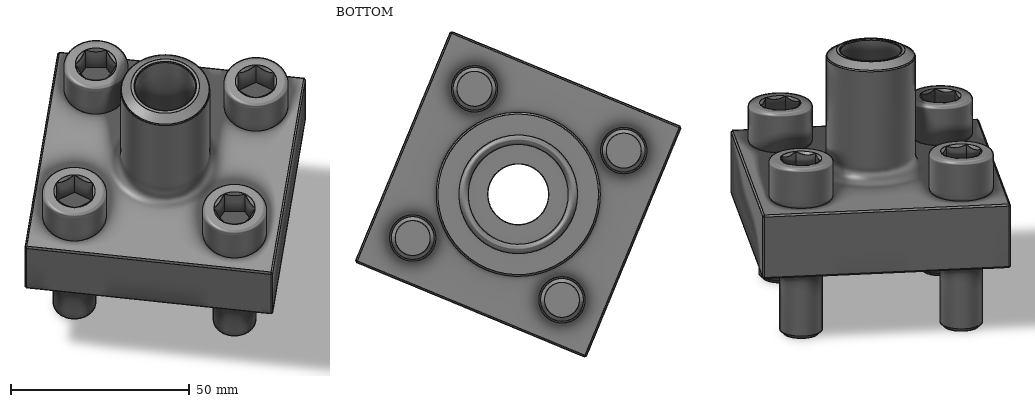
import cadquery as cq
import math

plate_side = 70.0
plate_height = 19.0
plate_edge_chamfer = 0.48
plate_angle = 22.5

neck_diameter = 25.0
neck_height = 35.0
neck_root_radius = 4.2
bore_diameter = 17.0
weld_land = 1.1
weld_bevel_angle = 30.0
neck_edge_break = 0.25

spigot_diameter = 46.0
spigot_height = 2.0
spigot_chamfer = 0.5

ring_inner_diameter = 28.0
ring_section_diameter = 2.62
ring_proud = 0.65
ring_centre_radius = (ring_inner_diameter + ring_section_diameter) / 2
ring_outer_diameter = ring_inner_diameter + 2 * ring_section_diameter
groove_depth = ring_section_diameter - ring_proud

screw_count = 4
screw_circle_diameter = 64.0
first_screw_angle = plate_angle + 45.0
screw_diameter = 12.0
screw_length = 40.0
screw_hole_diameter = 13.0
screw_tip_chamfer = 1.1

head_diameter = 18.0
head_height = screw_diameter
head_edge_radius = 1.2

socket_across_flats = 10.0
socket_across_corners = socket_across_flats / math.cos(math.radians(30))
socket_depth = 8.0
socket_countersink_slope = 45.0


def make_flange():
    """Plate, neck and spigot with the bore, the screw holes and the ring groove."""
    plate = (
        cq.Workplane("XY")
        .rect(plate_side, plate_side)
        .extrude(plate_height)
        .edges()
        .chamfer(plate_edge_chamfer)
        .rotate((0, 0, 0), (0, 0, 1), plate_angle)
    )

    neck_radius = neck_diameter / 2
    rim_radius = bore_diameter / 2 + weld_land
    bevel_slope = math.radians(weld_bevel_angle)
    neck_top = plate_height + neck_height
    bevel_foot = neck_top - (neck_radius - rim_radius) * math.tan(bevel_slope)
    root_middle = neck_root_radius * (1 - math.sqrt(0.5))
    neck = (
        cq.Workplane("XZ")
        .lineTo(0, neck_top)
        .lineTo(rim_radius, neck_top)
        .lineTo(
            neck_radius - neck_edge_break * math.cos(bevel_slope),
            bevel_foot + neck_edge_break * math.sin(bevel_slope),
        )
        .lineTo(neck_radius, bevel_foot - neck_edge_break)
        .lineTo(neck_radius, plate_height + neck_root_radius)
        .threePointArc(
            (neck_radius + root_middle, plate_height + root_middle),
            (neck_radius + neck_root_radius, plate_height),
        )
        .lineTo(neck_radius + neck_root_radius, 0)
        .close()
        .revolve(360, (0, 0, 0), (0, 1, 0))
    )

    spigot = (
        cq.Workplane("XY")
        .circle(spigot_diameter / 2)
        .extrude(-spigot_height)
        .faces("<Z")
        .chamfer(spigot_chamfer)
    )

    bore = (
        cq.Workplane("XY", origin=(0, 0, -spigot_height))
        .circle(bore_diameter / 2)
        .extrude(spigot_height + neck_top)
    )
    bore_lip = (
        cq.Workplane("XY", origin=(0, 0, neck_top))
        .circle(bore_diameter / 2 + neck_edge_break)
        .extrude(-neck_edge_break, taper=45)
    )
    screw_holes = (
        cq.Workplane("XY")
        .polarArray(screw_circle_diameter / 2, first_screw_angle, 360, screw_count)
        .circle(screw_hole_diameter / 2)
        .extrude(plate_height)
    )
    groove = (
        cq.Workplane("XY", origin=(0, 0, -spigot_height))
        .circle(ring_outer_diameter / 2)
        .circle(ring_inner_diameter / 2)
        .extrude(groove_depth)
    )
    body = plate.union(neck).union(spigot)
    return body.cut(bore).cut(bore_lip).cut(screw_holes).cut(groove)


def make_ring():
    """Round-section ring resting on the floor and the walls of its groove."""
    section_radius = ring_section_diameter / 2
    centre_height = -spigot_height - ring_proud + section_radius
    return (
        cq.Workplane("XZ")
        .center(ring_centre_radius, centre_height)
        .circle(section_radius)
        .revolve(360, (-ring_centre_radius, 0, 0), (-ring_centre_radius, 1, 0))
    )


def make_socket():
    """Hexagon recess with a conical mouth, opening at the top of the head."""
    hexagon = (
        cq.Workplane("XY", origin=(0, 0, head_height))
        .polygon(6, socket_across_corners)
        .extrude(-socket_depth)
    )
    mouth_radius = socket_across_corners / 2
    cone_depth = mouth_radius * math.tan(math.radians(socket_countersink_slope))
    mouth = cq.Workplane(
        cq.Solid.makeCone(0, mouth_radius, cone_depth, pnt=cq.Vector(0, 0, head_height - cone_depth))
    )
    return hexagon.union(mouth)


def make_screw():
    """Cap screw along Z with the underside of its head on Z = 0."""
    shank = (
        cq.Workplane("XY")
        .circle(screw_diameter / 2)
        .extrude(-screw_length)
        .faces("<Z")
        .chamfer(screw_tip_chamfer)
    )
    head = (
        cq.Workplane("XY")
        .circle(head_diameter / 2)
        .extrude(head_height)
        .faces("<Z or >Z")
        .edges()
        .fillet(head_edge_radius)
    )
    return head.union(shank).cut(make_socket())


def place_screws():
    """Cap screws spread evenly round the bore, each turned along with its position."""
    screw = make_screw().translate((screw_circle_diameter / 2, 0, plate_height))
    screw = screw.rotate(
        (screw_circle_diameter / 2, 0, 0), (screw_circle_diameter / 2, 0, 1), -first_screw_angle
    )
    screws = []
    for index in range(screw_count):
        angle = first_screw_angle + index * 360 / screw_count
        screws.append(screw.rotate((0, 0, 0), (0, 0, 1), angle))
    return screws


flange = make_flange()
ring = make_ring()
screws = place_screws()

result = cq.Compound.makeCompound([flange.val(), ring.val(), *[screw.val() for screw in screws]])